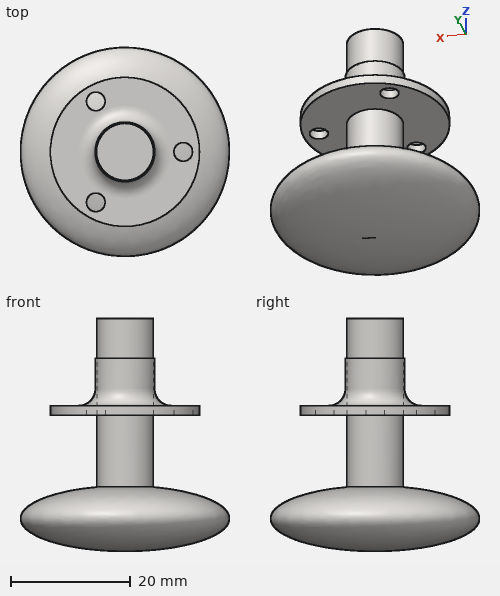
import cadquery as cq
import math

total_height = 39.0
knob_diameter = 35.0
full_knob_height = 11.0

shaft_diameter = 9.5

plate_diameter = 24.95
plate_thickness = 1.65
plate_bottom = 22.78
collar_diameter = 10.0
collar_top = 32.35
flare_radius = 2.73
screw_hole_diameter = 3.12
screw_circle_diameter = 19.5
screw_hole_count = 3

knob_radius = knob_diameter / 2
knob_half_height = full_knob_height / 2
shaft_radius = shaft_diameter / 2
plate_radius = plate_diameter / 2
plate_top = plate_bottom + plate_thickness
collar_radius = collar_diameter / 2
seat_angle = math.degrees(math.acos(shaft_radius / knob_radius))
seat_height = knob_half_height * (1 + math.sin(math.radians(seat_angle)))


def make_knob():
    """Flattened spheroid resting on Z = 0, cut level at the top to seat the shaft."""
    return (
        cq.Workplane("XZ")
        .ellipseArc(knob_radius, knob_half_height, -90, seat_angle)
        .lineTo(0, seat_height)
        .close()
        .revolve(360, (0, 0, 0), (0, 1, 0))
    )


def make_shaft():
    """Plain round bar from the knob seat to the top of the part."""
    return (
        cq.Workplane("XY")
        .workplane(offset=seat_height)
        .circle(shaft_radius)
        .extrude(total_height - seat_height)
    )


def make_rose():
    """Round plate and collar joined by a concave flare, bored for the shaft."""
    flare_inset = flare_radius * (1 - math.sqrt(0.5))
    body = (
        cq.Workplane("XZ")
        .moveTo(shaft_radius, plate_bottom)
        .lineTo(plate_radius, plate_bottom)
        .lineTo(plate_radius, plate_top)
        .lineTo(collar_radius + flare_radius, plate_top)
        .threePointArc(
            (collar_radius + flare_inset, plate_top + flare_inset),
            (collar_radius, plate_top + flare_radius),
        )
        .lineTo(collar_radius, collar_top)
        .lineTo(shaft_radius, collar_top)
        .close()
        .revolve(360, (0, 0, 0), (0, 1, 0))
    )
    screw_holes = (
        cq.Workplane("XY")
        .workplane(offset=plate_bottom)
        .polarArray(screw_circle_diameter / 2, 0, 360, screw_hole_count)
        .circle(screw_hole_diameter / 2)
        .extrude(plate_thickness)
    )
    return body.cut(screw_holes)


knob = make_knob()
shaft = make_shaft()
rose = make_rose()

result = cq.Compound.makeCompound([knob.val(), shaft.val(), rose.val()])